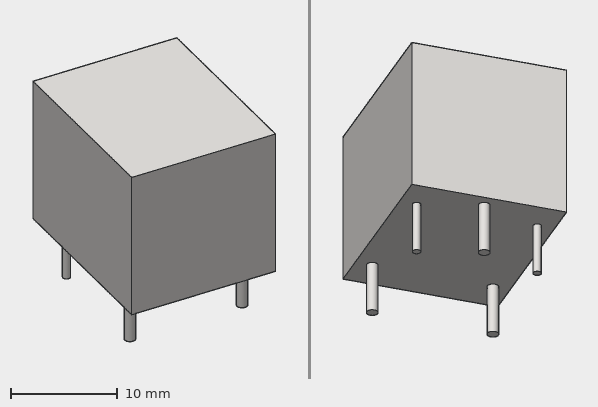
import cadquery as cq

total_height = 20.4
housing_length = 19.0
housing_width = 15.4
pin_length = 5.1
housing_height = total_height - pin_length

contact_pin_diameter = 1.1
coil_pin_diameter = 0.8
row_x = 6.1
row_y = 6.0
common_offset = 2.0
common_x = -row_x - common_offset


def make_housing():
    """Plain block with its underside at Z = 0."""
    return cq.Workplane("XY").box(
        housing_length, housing_width, housing_height, centered=(True, True, False)
    )


def make_pin(x, y, diameter):
    """Round pin hanging from the underside of the housing."""
    return cq.Workplane("XY").center(x, y).circle(diameter / 2).extrude(-pin_length)


housing = make_housing()
common_pin = make_pin(common_x, 0, contact_pin_diameter)
coil_pins = []
contact_pins = []
for y in (-row_y, row_y):
    coil_pins.append(make_pin(-row_x, y, coil_pin_diameter))
    contact_pins.append(make_pin(row_x, y, contact_pin_diameter))

pins = [common_pin] + coil_pins + contact_pins
result = cq.Compound.makeCompound([housing.val()] + [pin.val() for pin in pins])